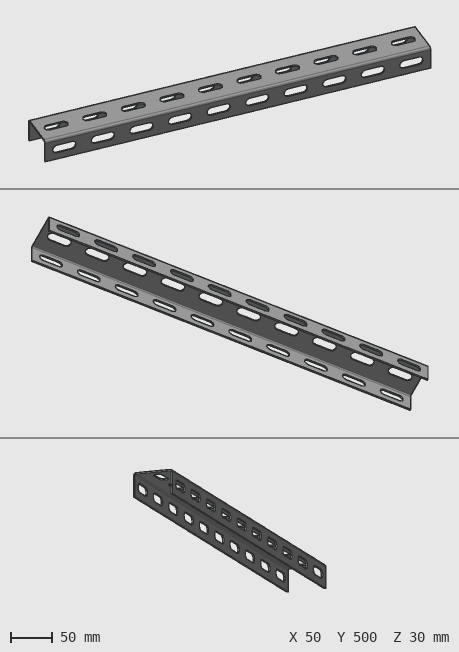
import cadquery as cq

length = 500.0
width = 50.0
height = 30.0
thickness = 2.0
inner_bend_radius = 1.5
outer_bend_radius = inner_bend_radius + thickness

slot_pitch = 50.0
slot_count = 10
slot_length = 30.0
slot_width = 11.0
flange_slot_height = 14.5


def bent_block(block_width, block_height, bend_radius):
    """Full-length block standing on Z = 0 with its two long top edges rounded."""
    block = cq.Workplane("XY").box(block_width, length, block_height, centered=(True, True, False))
    return block.edges("|Y and >Z").fillet(bend_radius)


def channel():
    outside = bent_block(width, height, outer_bend_radius)
    inside = bent_block(width - 2 * thickness, height - thickness, inner_bend_radius)
    return outside.cut(inside)


def slot_row(plane, depth):
    """Row of round-ended cutters whose long axis and spacing follow the plane's local x axis."""
    return (
        cq.Workplane(plane)
        .rarray(slot_pitch, 5, slot_count, 1)
        .slot2D(slot_length, slot_width)
        .extrude(depth)
    )


web_plane = cq.Plane(origin=(0, 0, height / 2), xDir=(0, 1, 0), normal=(0, 0, 1))
flange_plane = cq.Plane(origin=(-width / 2, 0, flange_slot_height), xDir=(0, 1, 0), normal=(1, 0, 0))

result = (
    channel()
    .cut(slot_row(web_plane, height / 2))
    .cut(slot_row(flange_plane, width))
)